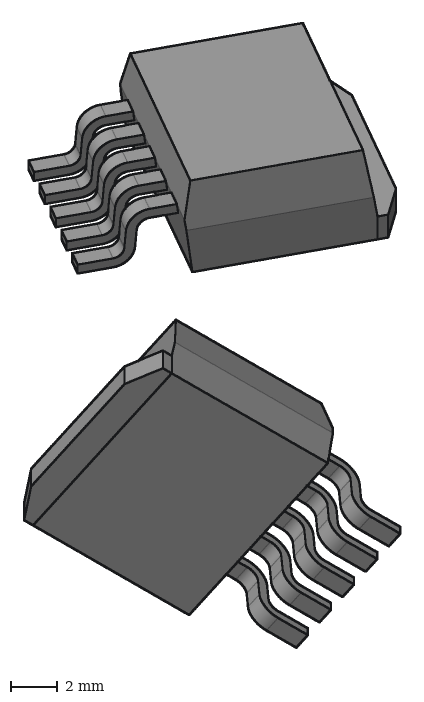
import cadquery as cq
import math

OVERALL_LENGTH = 14.35

HOUSING_WIDTH = 10.16
HOUSING_HEIGHT = 4.65
TOP_WIDTH = 9.3
SIDE_BREAK_HEIGHT = 2.32
TOP_REAR_Y = -0.53
TOP_FRONT_Y = -8.25
FRONT_RIDGE_Y = -8.61
BOTTOM_FRONT_Y = -8.28

TAB_LENGTH = 1.3
TAB_HEIGHT = 1.25
TAB_CORNER_X = 1.66
TAB_CORNER_Y = 0.83

LEAD_COUNT = 5
LEAD_PITCH = 1.7
LEAD_WIDTH = 0.85
LEAD_THICKNESS = 0.49
LEAD_TOP = 2.83
LEAD_SHOULDER_Y = -9.83
UPPER_INNER_RADIUS = 0.57
LOWER_INNER_RADIUS = 0.5
BEND_ANGLE = 85.5
UPPER_OUTER_RADIUS = UPPER_INNER_RADIUS + LEAD_THICKNESS
LOWER_OUTER_RADIUS = LOWER_INNER_RADIUS + LEAD_THICKNESS
LEAD_TIP_Y = TAB_LENGTH - OVERALL_LENGTH


def make_housing():
    """Intersect the side outline with the end outline to get the drafted block."""
    side_outline = (
        cq.Workplane("YZ")
        .polyline([
            (0, 0),
            (0, TAB_HEIGHT),
            (TOP_REAR_Y, HOUSING_HEIGHT),
            (TOP_FRONT_Y, HOUSING_HEIGHT),
            (FRONT_RIDGE_Y, LEAD_TOP),
            (BOTTOM_FRONT_Y, 0),
        ])
        .close()
        .extrude(HOUSING_WIDTH / 2, both=True)
    )
    end_outline = (
        cq.Workplane("XZ")
        .polyline([
            (-HOUSING_WIDTH / 2, 0),
            (HOUSING_WIDTH / 2, 0),
            (HOUSING_WIDTH / 2, SIDE_BREAK_HEIGHT),
            (TOP_WIDTH / 2, HOUSING_HEIGHT),
            (-TOP_WIDTH / 2, HOUSING_HEIGHT),
            (-HOUSING_WIDTH / 2, SIDE_BREAK_HEIGHT),
        ])
        .close()
        .extrude(-FRONT_RIDGE_Y)
    )
    return side_outline.intersect(end_outline)


def make_tab():
    """Flat tab behind the housing with its two rear corners cut off."""
    half_width = HOUSING_WIDTH / 2
    return (
        cq.Workplane("XY")
        .polyline([
            (-half_width, 0),
            (half_width, 0),
            (half_width, TAB_LENGTH - TAB_CORNER_Y),
            (half_width - TAB_CORNER_X, TAB_LENGTH),
            (-half_width + TAB_CORNER_X, TAB_LENGTH),
            (-half_width, TAB_LENGTH - TAB_CORNER_Y),
        ])
        .close()
        .extrude(TAB_HEIGHT)
    )


def point_on_bend(center, radius, degrees_from_vertical):
    """Point (Y, Z) on a bend; negative radius gives the underside of its circle."""
    angle = math.radians(degrees_from_vertical)
    return (center[0] - radius * math.sin(angle), center[1] + radius * math.cos(angle))


def make_lead(x):
    """Gull-wing lead of constant thickness, centered on the given X."""
    bend = math.radians(BEND_ANGLE)
    bend_radii = UPPER_OUTER_RADIUS + LOWER_INNER_RADIUS
    bends_drop = bend_radii * (1 - math.cos(bend))
    leg_drop = LEAD_TOP - LEAD_THICKNESS - bends_drop
    run = bend_radii * math.sin(bend) + leg_drop / math.tan(bend)
    foot_start_y = LEAD_SHOULDER_Y - run
    upper_center = (LEAD_SHOULDER_Y, LEAD_TOP - UPPER_OUTER_RADIUS)
    lower_center = (foot_start_y, LOWER_OUTER_RADIUS)

    face_slope = (BOTTOM_FRONT_Y - FRONT_RIDGE_Y) / LEAD_TOP
    root_bottom_y = FRONT_RIDGE_Y + face_slope * LEAD_THICKNESS

    def upper(radius, angle):
        return point_on_bend(upper_center, radius, angle)

    def lower(radius, angle):
        return point_on_bend(lower_center, -radius, angle)

    half_bend = BEND_ANGLE / 2
    return (
        cq.Workplane("YZ", origin=(x - LEAD_WIDTH / 2, 0, 0))
        .moveTo(FRONT_RIDGE_Y, LEAD_TOP)
        .lineTo(*upper(UPPER_OUTER_RADIUS, 0))
        .threePointArc(upper(UPPER_OUTER_RADIUS, half_bend), upper(UPPER_OUTER_RADIUS, BEND_ANGLE))
        .lineTo(*lower(LOWER_INNER_RADIUS, BEND_ANGLE))
        .threePointArc(lower(LOWER_INNER_RADIUS, half_bend), lower(LOWER_INNER_RADIUS, 0))
        .lineTo(LEAD_TIP_Y, LEAD_THICKNESS)
        .lineTo(LEAD_TIP_Y, 0)
        .lineTo(*lower(LOWER_OUTER_RADIUS, 0))
        .threePointArc(lower(LOWER_OUTER_RADIUS, half_bend), lower(LOWER_OUTER_RADIUS, BEND_ANGLE))
        .lineTo(*upper(UPPER_INNER_RADIUS, BEND_ANGLE))
        .threePointArc(upper(UPPER_INNER_RADIUS, half_bend), upper(UPPER_INNER_RADIUS, 0))
        .lineTo(root_bottom_y, LEAD_TOP - LEAD_THICKNESS)
        .close()
        .extrude(LEAD_WIDTH)
    )


housing = make_housing()
tab = make_tab()
leads = []
for index in range(LEAD_COUNT):
    lead_x = (index - (LEAD_COUNT - 1) / 2) * LEAD_PITCH
    leads.append(make_lead(lead_x).val())

result = cq.Compound.makeCompound([housing.val(), tab.val(), *leads])